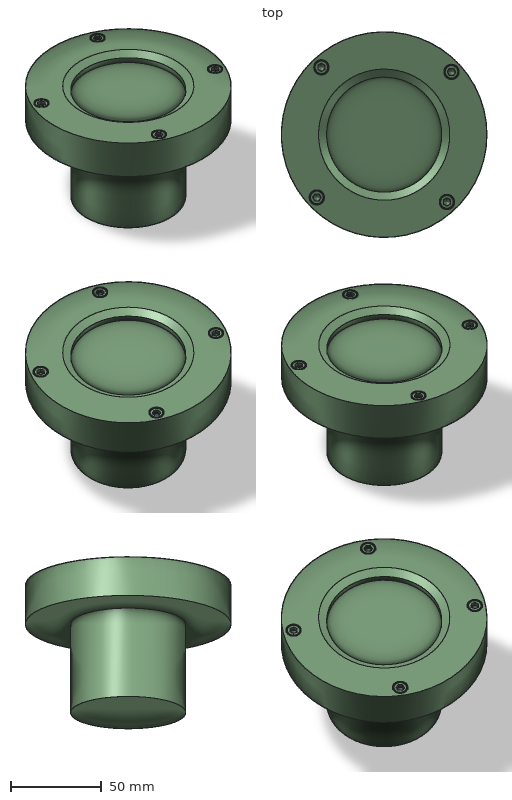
import cadquery as cq
import math

FLANGE_DIAMETER = 113.54
TUBE_DIAMETER = 63.5
TUBE_LENGTH = 50.8
FLANGE_THICKNESS = 9.525
COVER_THICKNESS = 12.7

WINDOW_DIAMETER = 63.5
WINDOW_DEPTH = 5.7
LEAD_IN_DIAMETER = 72.4
LEAD_IN_SLOPE = 60
LEAD_IN_DEPTH = (LEAD_IN_DIAMETER - WINDOW_DIAMETER) / 2 / math.tan(math.radians(LEAD_IN_SLOPE))

SCREW_COUNT = 4
SCREW_PITCH_DIAMETER = 101.6
FIRST_SCREW_ANGLE = 43
COUNTERBORE_DIAMETER = 8.43
HEAD_DIAMETER = 7.87
HEAD_HEIGHT = 4.8
HEAD_CHAMFER = 0.45
HEAD_RECESS = 0.2
SOCKET_ACROSS_FLATS = 3.96
SOCKET_SIDES = 6
SOCKET_DEPTH = 2.4
SOCKET_TIP_SLOPE = 60

CORNER_OFFSET = 180 / SOCKET_SIDES
SOCKET_TURN = CORNER_OFFSET - FIRST_SCREW_ANGLE

COVER_BOTTOM = TUBE_LENGTH + FLANGE_THICKNESS
TOP = COVER_BOTTOM + COVER_THICKNESS


def disc(diameter, bottom, height):
    """Upright cylinder on the Z axis."""
    return cq.Workplane("XY").workplane(offset=bottom).circle(diameter / 2).extrude(height)


def body():
    """Tube, flange and cover as plain cylinders."""
    tube = disc(TUBE_DIAMETER, 0, TUBE_LENGTH)
    flange = disc(FLANGE_DIAMETER, TUBE_LENGTH, FLANGE_THICKNESS)
    cover = disc(FLANGE_DIAMETER, COVER_BOTTOM, COVER_THICKNESS)
    return tube.union(flange).union(cover)


def window_opening():
    """Blind bore with a conical lead-in at the top face."""
    bore = disc(WINDOW_DIAMETER, TOP - WINDOW_DEPTH, WINDOW_DEPTH)
    lead_in = cq.Solid.makeCone(
        WINDOW_DIAMETER / 2,
        LEAD_IN_DIAMETER / 2,
        LEAD_IN_DEPTH,
        pnt=cq.Vector(0, 0, TOP - LEAD_IN_DEPTH),
    )
    return bore.union(cq.Workplane(lead_in))


def screw_head():
    """Chamfered head with a hexagon socket ending in a cone."""
    counterbore_floor = TOP - HEAD_RECESS - HEAD_HEIGHT
    socket_floor = TOP - HEAD_RECESS - SOCKET_DEPTH
    head = disc(HEAD_DIAMETER, counterbore_floor, HEAD_HEIGHT).faces(">Z").chamfer(HEAD_CHAMFER)
    socket = (
        cq.Workplane("XY")
        .workplane(offset=socket_floor)
        .polygon(SOCKET_SIDES, SOCKET_ACROSS_FLATS, circumscribed=True)
        .extrude(SOCKET_DEPTH)
        .rotate((0, 0, 0), (0, 0, 1), SOCKET_TURN)
    )
    tip_depth = SOCKET_ACROSS_FLATS / 2 / math.tan(math.radians(SOCKET_TIP_SLOPE))
    tip = cq.Solid.makeCone(
        0,
        SOCKET_ACROSS_FLATS / 2,
        tip_depth,
        pnt=cq.Vector(0, 0, socket_floor - tip_depth),
    )
    return head.cut(socket).cut(cq.Workplane(tip))


def at_screws(shape):
    """Copies of a shape on the screw circle, each turned with its place."""
    placed = cq.Workplane("XY")
    outward = shape.translate((SCREW_PITCH_DIAMETER / 2, 0, 0))
    for index in range(SCREW_COUNT):
        angle = FIRST_SCREW_ANGLE + index * 360 / SCREW_COUNT
        placed = placed.add(outward.rotate((0, 0, 0), (0, 0, 1), angle))
    return placed.combine()


counterbore_depth = HEAD_RECESS + HEAD_HEIGHT
counterbore = disc(COUNTERBORE_DIAMETER, TOP - counterbore_depth, counterbore_depth)

result = body().cut(window_opening()).cut(at_screws(counterbore)).union(at_screws(screw_head()))